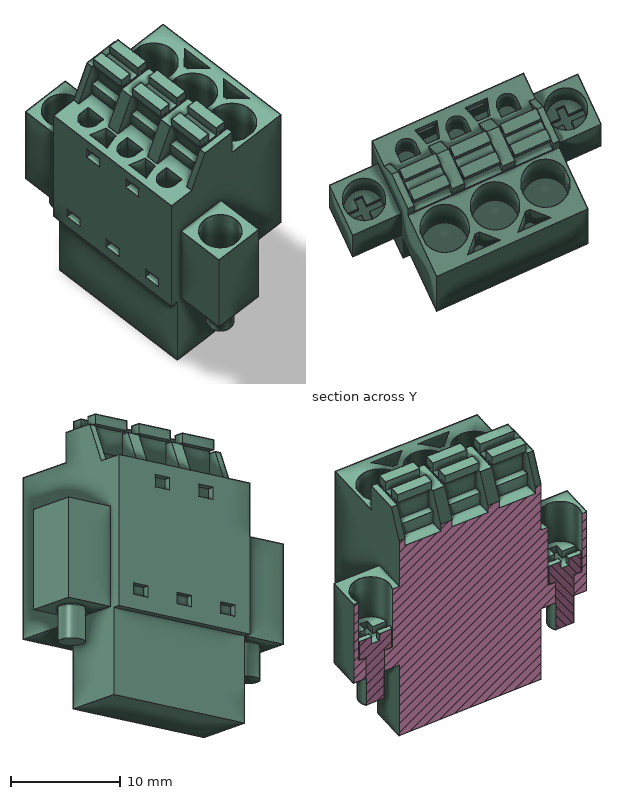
import cadquery as cq


POLE_PITCH = 5.07
POLE_CENTRES = [-POLE_PITCH, 0.0, POLE_PITCH]
RIB_CENTRES = [-POLE_PITCH / 2, POLE_PITCH / 2]

HOUSING_WIDTH = 15.25
HOUSING_DEPTH = 14.2
BODY_BOTTOM = 8.32
FRONT_TOP = 22.75
BACK_TOP = 23.75
RIB_TOP = 26.62
RIB_FOOT_Y = 2.6
RIB_FRONT_Y = 4.33
RIB_BACK_Y = 7.88
PLUG_FRONT_Y = 0.75
PLUG_BACK_Y = 6.8

LATCH_WIDTH = 5.55
LATCH_NECK_Y = 8.5
LATCH_ROOT_FRONT = (8.12, BODY_BOTTOM)
LATCH_NECK_TOP = (LATCH_NECK_Y, 7.25)
LATCH_NECK_BOTTOM = (LATCH_NECK_Y, 5.38)
LATCH_BARB = (7.9, 4.8)
LATCH_TIP = (8.43, 3.77)
LATCH_ARC_MIDDLE = (9.18, 4.71)
LATCH_ARC_END = (9.65, 5.82)
LATCH_ROOT_BACK = (10.2, BODY_BOTTOM)

SLOT_WIDTH = 3.83
SLOT_FLOOR = 24.13

LEVER_TOP = 27.73
LEVER_WIDTH = 3.65
LEVER_FRONT_Y = 4.4
LEVER_BACK_Y = 7.63
LEVER_NOTCH_WIDTH = 1.03
LEVER_NOTCH_FLOOR = 26.7
STEM_FRONT_Y = 5.07
STEM_BACK_Y = 7.0
HEAD_BOTTOM = 26.8

WIRE_HOLE_DIAMETER = 4.52
WIRE_HOLE_Y = 10.4
WIRE_HOLE_DEPTH = 8.32
WIRE_HOLE_WALL = 0.35

BACK_RECESS_Y = (12.03, 13.53)
BACK_RECESS_WIDTHS = (0.45, 3.33)
BACK_RECESS_DEPTH = 5.55

TEST_HOLE_WIDTH = 2.0
TEST_HOLE_BACK_Y = 2.9
TEST_HOLE_FRONT_Y = 1.0
TEST_HOLE_DEPTH = 5.55

FRONT_RECESS_Y = (0.72, 2.33)
FRONT_RECESS_WIDTHS = (2.22, 1.28)
FRONT_RECESS_DEPTH = 5.55

WINDOW_WIDTH = 1.65
UPPER_WINDOW_HEIGHT = 1.16
UPPER_WINDOW_Z = 21.0
UPPER_WINDOW_DEPTH = FRONT_RECESS_Y[0]
LOWER_WINDOW_HEIGHT = 1.08
LOWER_WINDOW_Z = 10.25
LOWER_WINDOW_DEPTH = 0.67

OVERALL_WIDTH = 25.05
FLANGE_FRONT_Y = 1.25
FLANGE_BACK_Y = 6.4
FLANGE_BOTTOM = 8.5
FLANGE_TOP = 18.08

SCREW_X = 10.18
SCREW_Y = 3.77
SCREW_CENTRES = [-SCREW_X, SCREW_X]
HEAD_BORE_DIAMETER = 3.97
SCREW_HEAD_DIAMETER = 3.83
SCREW_HEAD_HEIGHT = 2.22
SCREW_SEAT_Z = 11.1
SHANK_DIAMETER = 2.52
SHANK_BOTTOM = 5.27
CROSS_DEPTH = 0.83
LONG_SLOT_WIDTH = 0.67
SHORT_SLOT_WIDTH = 0.8
SHORT_SLOT_LENGTH = 2.58


def box(x_limits, y_limits, z_limits):
    """Box between the given lower and upper limits on each axis."""
    sizes = [high - low for low, high in (x_limits, y_limits, z_limits)]
    corner = (x_limits[0], y_limits[0], z_limits[0])
    return cq.Workplane("XY").box(*sizes, centered=False).translate(corner)


def centred_box(x_centre, width, y_limits, z_limits):
    """Box of the given width, centred on x_centre."""
    return box((x_centre - width / 2, x_centre + width / 2), y_limits, z_limits)


def cylinder(x, y, diameter, z_bottom, z_top):
    """Upright cylinder."""
    return cq.Workplane("XY", origin=(x, y, z_bottom)).circle(diameter / 2).extrude(z_top - z_bottom)


def tapered_recess(x, y_limits, widths, z_top, depth):
    """Trapezoidal pocket tool; widths are those at the front and back limits."""
    front_y, back_y = y_limits
    front_half, back_half = widths[0] / 2, widths[1] / 2
    outline = [
        (x - front_half, front_y),
        (x + front_half, front_y),
        (x + back_half, back_y),
        (x - back_half, back_y),
    ]
    return cq.Workplane("XY", origin=(0, 0, z_top - depth)).polyline(outline).close().extrude(depth)


def housing_profile():
    """Body, ribs and plug as one extruded side outline."""
    outline = [
        (PLUG_FRONT_Y, 0),
        (PLUG_BACK_Y, 0),
        (PLUG_BACK_Y, BODY_BOTTOM),
        (HOUSING_DEPTH, BODY_BOTTOM),
        (HOUSING_DEPTH, BACK_TOP),
        (RIB_BACK_Y, BACK_TOP),
        (RIB_BACK_Y, RIB_TOP),
        (RIB_FRONT_Y, RIB_TOP),
        (RIB_FOOT_Y, FRONT_TOP),
        (0, FRONT_TOP),
        (0, BODY_BOTTOM),
        (PLUG_FRONT_Y, BODY_BOTTOM),
    ]
    return cq.Workplane("YZ").polyline(outline).close().extrude(HOUSING_WIDTH / 2, both=True)


def latch():
    """Curved latch hook hanging under the middle of the body."""
    return (
        cq.Workplane("YZ")
        .moveTo(*LATCH_ROOT_FRONT)
        .lineTo(*LATCH_NECK_TOP)
        .lineTo(*LATCH_NECK_BOTTOM)
        .lineTo(*LATCH_BARB)
        .lineTo(*LATCH_TIP)
        .threePointArc(LATCH_ARC_MIDDLE, LATCH_ARC_END)
        .lineTo(*LATCH_ROOT_BACK)
        .close()
        .extrude(LATCH_WIDTH / 2, both=True)
    )


def lever_slot(x):
    """Opening between two ribs, with a solid step below the lever."""
    upper = centred_box(x, SLOT_WIDTH, (RIB_FRONT_Y, RIB_BACK_Y), (SLOT_FLOOR, RIB_TOP))
    front = centred_box(x, SLOT_WIDTH, (RIB_FOOT_Y, RIB_FRONT_Y), (FRONT_TOP, RIB_TOP))
    return upper.union(front)


def wire_hole(x):
    """Round wire entry, flattened where it would come too close to the outer side."""
    hole = cylinder(x, WIRE_HOLE_Y, WIRE_HOLE_DIAMETER, BACK_TOP - WIRE_HOLE_DEPTH, BACK_TOP)
    inside = centred_box(
        0,
        HOUSING_WIDTH - 2 * WIRE_HOLE_WALL,
        (0, HOUSING_DEPTH),
        (BODY_BOTTOM, BACK_TOP),
    )
    return hole.intersect(inside)


def test_hole(x):
    """U-shaped hole, straight at the back and round at the front."""
    radius = TEST_HOLE_WIDTH / 2
    arc_start_y = TEST_HOLE_FRONT_Y + radius
    return (
        cq.Workplane("XY", origin=(x, 0, FRONT_TOP - TEST_HOLE_DEPTH))
        .moveTo(-radius, TEST_HOLE_BACK_Y)
        .lineTo(-radius, arc_start_y)
        .threePointArc((0, TEST_HOLE_FRONT_Y), (radius, arc_start_y))
        .lineTo(radius, TEST_HOLE_BACK_Y)
        .close()
        .extrude(TEST_HOLE_DEPTH)
    )


def window(x, z, height, depth):
    """Rectangular opening in the front face."""
    return centred_box(x, WINDOW_WIDTH, (0, depth), (z - height / 2, z + height / 2))


def screw_bore(x):
    """Stepped bore for one flange screw."""
    head = cylinder(x, SCREW_Y, HEAD_BORE_DIAMETER, SCREW_SEAT_Z, FLANGE_TOP)
    shank = cylinder(x, SCREW_Y, SHANK_DIAMETER, FLANGE_BOTTOM, SCREW_SEAT_Z)
    return head.union(shank)


def make_housing():
    flanges = centred_box(
        0, OVERALL_WIDTH, (FLANGE_FRONT_Y, FLANGE_BACK_Y), (FLANGE_BOTTOM, FLANGE_TOP)
    )
    housing = housing_profile().union(flanges).union(latch())
    for x in POLE_CENTRES:
        housing = housing.cut(lever_slot(x))
        housing = housing.cut(wire_hole(x))
        housing = housing.cut(test_hole(x))
        housing = housing.cut(window(x, LOWER_WINDOW_Z, LOWER_WINDOW_HEIGHT, LOWER_WINDOW_DEPTH))
    for x in RIB_CENTRES:
        housing = housing.cut(
            tapered_recess(x, BACK_RECESS_Y, BACK_RECESS_WIDTHS, BACK_TOP, BACK_RECESS_DEPTH)
        )
        housing = housing.cut(
            tapered_recess(x, FRONT_RECESS_Y, FRONT_RECESS_WIDTHS, FRONT_TOP, FRONT_RECESS_DEPTH)
        )
        housing = housing.cut(window(x, UPPER_WINDOW_Z, UPPER_WINDOW_HEIGHT, UPPER_WINDOW_DEPTH))
    for x in SCREW_CENTRES:
        housing = housing.cut(screw_bore(x))
    return housing


def make_lever(x):
    """Lever standing on the slot floor, with a notched head overhanging its stem."""
    stem = centred_box(x, LEVER_WIDTH, (STEM_FRONT_Y, STEM_BACK_Y), (SLOT_FLOOR, LEVER_TOP))
    head = centred_box(x, LEVER_WIDTH, (LEVER_FRONT_Y, LEVER_BACK_Y), (HEAD_BOTTOM, LEVER_TOP))
    middle_y = (LEVER_FRONT_Y + LEVER_BACK_Y) / 2
    notch = centred_box(
        x,
        LEVER_WIDTH,
        (middle_y - LEVER_NOTCH_WIDTH / 2, middle_y + LEVER_NOTCH_WIDTH / 2),
        (LEVER_NOTCH_FLOOR, LEVER_TOP),
    )
    return stem.union(head).cut(notch)


def make_screw(x):
    """Cheese-head screw with a crossed drive: one slot runs right across the head."""
    head_top = SCREW_SEAT_Z + SCREW_HEAD_HEIGHT
    head = cylinder(x, SCREW_Y, SCREW_HEAD_DIAMETER, SCREW_SEAT_Z, head_top)
    shank = cylinder(x, SCREW_Y, SHANK_DIAMETER, SHANK_BOTTOM, SCREW_SEAT_Z)
    slot_z = (head_top - CROSS_DEPTH, head_top)
    long_slot = centred_box(
        x,
        SCREW_HEAD_DIAMETER,
        (SCREW_Y - LONG_SLOT_WIDTH / 2, SCREW_Y + LONG_SLOT_WIDTH / 2),
        slot_z,
    )
    short_slot = centred_box(
        x,
        SHORT_SLOT_WIDTH,
        (SCREW_Y - SHORT_SLOT_LENGTH / 2, SCREW_Y + SHORT_SLOT_LENGTH / 2),
        slot_z,
    )
    return head.union(shank).cut(long_slot).cut(short_slot)


housing = make_housing()
levers = [make_lever(x) for x in POLE_CENTRES]
screws = [make_screw(x) for x in SCREW_CENTRES]

bodies = [housing, *levers, *screws]
result = cq.Compound.makeCompound([body.val() for body in bodies])